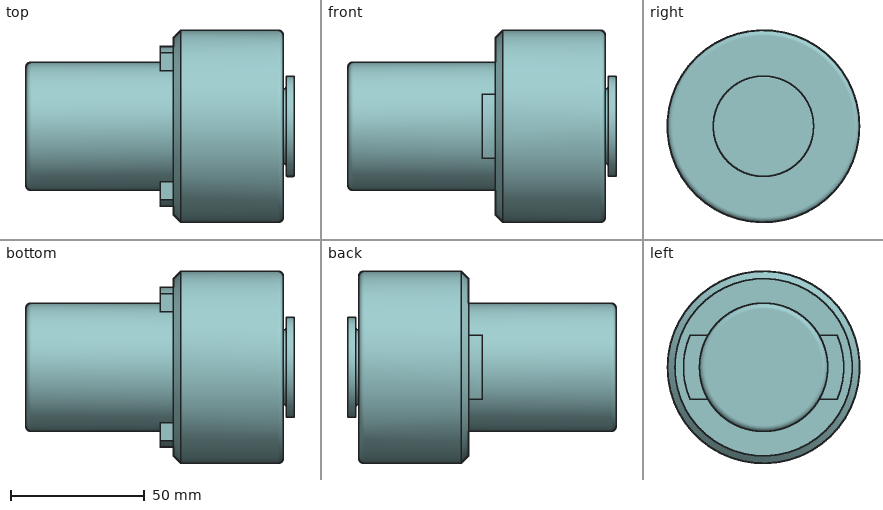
import cadquery as cq

total_length = 100.5
shank_diameter = 48.0
shank_fillet = 2.1
body_start = 55.3
body_end = 96.4
body_diameter = 72.0
body_chamfer = 2.8
body_fillet = 2.0
neck_diameter = 28.1
neck_end = 97.4
button_diameter = 37.6
button_fillet = 0.6
neck_root_fillet = 0.4
lug_length = 5.0
lug_width = 24.0
lug_outer_diameter = 60.0


def cylinder(start, end, diameter):
    """Cylinder along X between two stations."""
    return cq.Workplane("YZ").workplane(offset=start).circle(diameter / 2).extrude(end - start)


shank = cylinder(0, body_start, shank_diameter).faces("<X").edges().fillet(shank_fillet)
body = cylinder(body_start, body_end, body_diameter)
body = body.faces("<X").edges().chamfer(body_chamfer)
body = body.faces(">X").edges().fillet(body_fillet)

neck = cylinder(body_end, neck_end, neck_diameter)
knob = neck.union(cylinder(neck_end, total_length, button_diameter))
neck_root = knob.edges(cq.selectors.RadiusNthSelector(0)).edges(">X")
knob = neck_root.fillet(neck_root_fillet)
knob = knob.edges(cq.selectors.RadiusNthSelector(-1)).fillet(button_fillet)

lug_start = body_start - lug_length
lug_bar = (
    cq.Workplane("YZ")
    .workplane(offset=lug_start)
    .rect(lug_outer_diameter, lug_width)
    .extrude(lug_length)
)
lugs = lug_bar.intersect(cylinder(lug_start, body_start, lug_outer_diameter))

result = shank.union(body).union(lugs).union(knob)